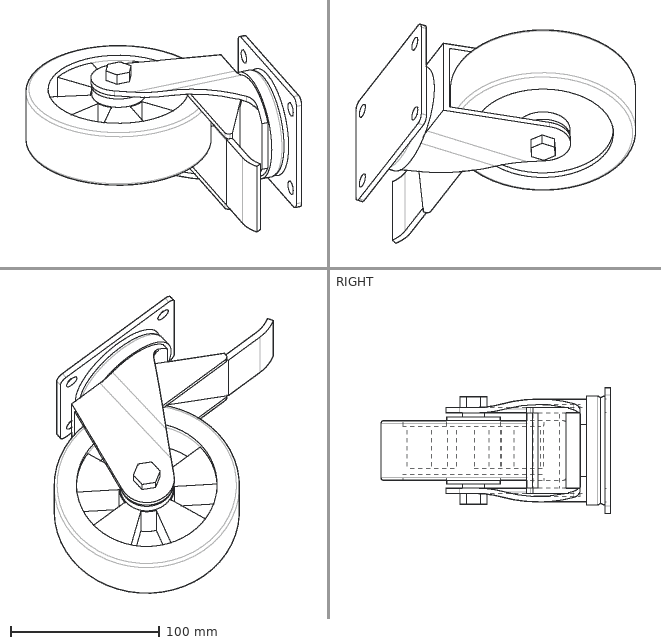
import cadquery as cq
import math


wheel_diameter = 125.0
wheel_width = 40.3
tread_fillet = 2.0
recess_diameter = 94.8
recess_depth = 4.0
pocket_count = 5
pocket_floor = 4.1
pocket_wall_offset = 0.6

hub_diameter = 37.6
hub_flange_diameter = 36.2
hub_flange_height = 2.5
spacer_diameter = 15.0
bolt_head_flats = 16.0
bolt_head_height = 7.2

plate_length = 100.0
plate_width = 85.0
plate_thickness = 4.0
plate_corner = 5.0
mount_hole_diameter = 9.0
mount_hole_spacing_x = 80.2
mount_hole_spacing_z = 60.3

overall_height = 155.0
swivel_x = 48.0
swivel_diameter = 73.5
swivel_height = 12.5
groove_diameter = 71.0
groove_drop = 2.9
rim_drop = 5.0
groove_arc_bulge = 0.7

fork_gap = 50.6
fork_wall = 3.7
fork_top_thickness = 4.3
fork_end_radius = 18.5
fork_rear_x = -2.5
fork_lip_x = 78.0
fork_front_angle = 59
fork_lip_fillet = 9.3
fork_inner_fillet = 0.6
bulge_radius = 34.7
bulge_start_x = 22.3

brake_bottom = 35.7
brake_thickness = 4.3
brake_slope = 30
brake_bend_x = 101.5
brake_slope_end_x = 62.8
brake_corner = 2.7
pedal_tip_angle = 30
pedal_tip_radius = 29.8
overall_length = 206.6

wheel_radius = wheel_diameter / 2
wheel_face = wheel_width / 2
recess_face = wheel_face - recess_depth
fork_inner = fork_gap / 2
fork_outer = fork_inner + fork_wall
plate_top = overall_height - wheel_radius
plate_bottom = plate_top - plate_thickness
fork_top = plate_bottom - swivel_height
fork_ceiling = fork_top - fork_top_thickness
brake_top = brake_bottom + brake_thickness
pedal_end_x = overall_length - wheel_radius


def cylinder(diameter, z_bottom, z_top):
    """Cylinder on the wheel axis."""
    return cq.Workplane("XY").workplane(offset=z_bottom).circle(diameter / 2).extrude(z_top - z_bottom)


def slab(outline, half_width):
    """Extrude an XY outline equally to both sides of Z = 0."""
    return outline.extrude(half_width, both=True)


def make_wheel():
    wheel = cylinder(wheel_diameter, -wheel_face, wheel_face).edges().fillet(tread_fillet)
    wheel = wheel.cut(cylinder(recess_diameter, recess_face, wheel_face))
    wheel = wheel.cut(cylinder(recess_diameter, -wheel_face, -recess_face))

    sector = 180 / pocket_count
    half_sector = math.radians(sector / 2)
    floor = -recess_face + pocket_floor
    tip_x = pocket_wall_offset / math.sin(half_sector)
    wedge_half_width = (wheel_radius - tip_x) * math.tan(half_sector)
    wedge = (
        cq.Workplane("XY")
        .workplane(offset=floor)
        .polyline([(tip_x, 0), (wheel_radius, -wedge_half_width), (wheel_radius, wedge_half_width)])
        .close()
        .extrude(recess_face - floor)
    )
    pocket = wedge.intersect(cylinder(recess_diameter, floor, recess_face))
    pocket = pocket.cut(cylinder(hub_diameter, floor, recess_face))
    for index in range(pocket_count):
        wheel = wheel.cut(pocket.rotate((0, 0, 0), (0, 0, 1), (2 * index + 0.5) * sector))
    return wheel


def make_axle():
    flange_face = wheel_face + hub_flange_height
    head_end = fork_outer + bolt_head_height
    axle = cylinder(hub_flange_diameter, -flange_face, flange_face)
    axle = axle.union(cylinder(spacer_diameter, -fork_outer, fork_outer))
    heads = (
        cq.Workplane("XY")
        .polygon(6, bolt_head_flats / math.cos(math.radians(30)))
        .extrude(head_end, both=True)
        .rotate((0, 0, 0), (0, 0, 1), 90)
        .cut(cq.Workplane("XY").box(wheel_diameter, wheel_diameter, 2 * fork_outer))
    )
    return axle.union(heads)


def make_mounting_plate():
    plate = (
        cq.Workplane("XZ", origin=(swivel_x, plate_top, 0))
        .rect(plate_length, plate_width)
        .extrude(plate_thickness)
        .edges("|Y")
        .fillet(plate_corner)
    )
    holes = (
        cq.Workplane("XZ", origin=(swivel_x, plate_top, 0))
        .rect(mount_hole_spacing_x, mount_hole_spacing_z, forConstruction=True)
        .vertices()
        .circle(mount_hole_diameter / 2)
        .extrude(plate_thickness)
    )
    return plate.cut(holes)


def make_swivel_head():
    """Turned body with a rounded groove just under the mounting plate."""
    radius = swivel_diameter / 2
    groove = groove_diameter / 2
    arc_mid = groove + groove_arc_bulge * (radius - groove)
    groove_y = plate_bottom - groove_drop
    rim_top = plate_bottom - rim_drop
    return (
        cq.Workplane("XY", origin=(swivel_x, 0, 0))
        .moveTo(0, plate_bottom)
        .lineTo(radius, plate_bottom)
        .threePointArc((arc_mid, (plate_bottom + groove_y) / 2), (groove, groove_y))
        .threePointArc((arc_mid, (groove_y + rim_top) / 2), (radius, rim_top))
        .lineTo(radius, fork_top)
        .lineTo(0, fork_top)
        .close()
        .revolve(360, (0, 0, 0), (0, 1, 0))
    )


def bulged_plan(flank, radius, blend_radius, y_bottom, y_top):
    """Fork plan: flat flanks blending through concave arcs into a round bulge about the swivel."""
    blend_z = flank + blend_radius
    reach = swivel_x - bulge_start_x
    share = radius / (radius + blend_radius)
    tangent = (swivel_x - share * reach, share * blend_z)
    sweep = math.atan2(reach, blend_z)
    mid_blend = (
        bulge_start_x + blend_radius * math.sin(sweep / 2),
        blend_z - blend_radius * math.cos(sweep / 2),
    )
    rear_x = -fork_end_radius
    return (
        cq.Workplane("XZ", origin=(0, y_top, 0))
        .moveTo(rear_x, -flank)
        .lineTo(rear_x, flank)
        .lineTo(bulge_start_x, flank)
        .threePointArc(mid_blend, tangent)
        .threePointArc((swivel_x + radius, 0), (tangent[0], -tangent[1]))
        .threePointArc((mid_blend[0], -mid_blend[1]), (bulge_start_x, -flank))
        .close()
        .extrude(y_top - y_bottom)
    )


def fork_side_outline():
    """Leg outline: round around the axle, tangent edges, and a lip at the top front."""
    radius = fork_end_radius
    front = math.radians(fork_front_angle)
    front_tangent = (radius * math.sin(front), -radius * math.cos(front))
    rear = math.atan2(fork_top, fork_rear_x) + math.acos(radius / math.hypot(fork_rear_x, fork_top))
    rear_tangent = (radius * math.cos(rear), radius * math.sin(rear))

    corner_x = (fork_ceiling * math.cos(front) + radius) / math.sin(front)
    setback = fork_lip_fillet * math.tan(front / 2)
    fillet_start = (corner_x - setback * math.cos(front), fork_ceiling - setback * math.sin(front))
    fillet_end_x = corner_x + setback
    fillet_mid = (
        fillet_end_x - fork_lip_fillet * math.sin(front / 2),
        fork_ceiling - fork_lip_fillet * (1 - math.cos(front / 2)),
    )
    return (
        cq.Workplane("XY")
        .moveTo(fork_rear_x, fork_top)
        .lineTo(*rear_tangent)
        .threePointArc((0, -radius), front_tangent)
        .lineTo(*fillet_start)
        .threePointArc(fillet_mid, (fillet_end_x, fork_ceiling))
        .lineTo(fork_lip_x, fork_ceiling)
        .lineTo(fork_lip_x, fork_top)
        .close()
    )


def make_fork():
    reach = swivel_x - bulge_start_x
    blend_radius = (reach**2 + fork_outer**2 - bulge_radius**2) / (2 * (bulge_radius - fork_outer))
    y_low = -fork_end_radius
    body = bulged_plan(fork_outer, bulge_radius, blend_radius, y_low, fork_top)
    bulge_cavity = bulged_plan(
        fork_inner, bulge_radius - fork_wall, blend_radius + fork_wall, y_low, fork_ceiling
    )
    channel_height = fork_ceiling - y_low
    channel = (
        cq.Workplane("XY", origin=(0, fork_ceiling - channel_height / 2, 0))
        .box(2 * overall_length, channel_height, fork_gap)
        .edges("|X and >Y")
        .fillet(fork_inner_fillet)
    )
    rear_block = cq.Workplane("XY").box(2 * fork_end_radius, 2 * overall_height, plate_width)
    bulge_cavity = bulge_cavity.cut(rear_block)
    body = body.intersect(slab(fork_side_outline(), bulge_radius))
    return body.cut(channel).cut(bulge_cavity)


def make_brake():
    slope = math.tan(math.radians(brake_slope))
    ceiling_x = brake_bend_x - (fork_ceiling - brake_top) / slope
    web_end_top = brake_top + (brake_bend_x - brake_slope_end_x) * slope

    cheeks = slab(
        cq.Workplane("XY").polyline(
            [
                (bulge_start_x, brake_bottom),
                (brake_bend_x, brake_bottom),
                (brake_bend_x, brake_top),
                (ceiling_x, fork_ceiling),
                (bulge_start_x, fork_ceiling),
            ]
        ).close(),
        fork_outer,
    )
    cheeks = cheeks.edges("|Z and >X and <Y").fillet(brake_corner)
    cheeks = cheeks.cut(cq.Workplane("XY").box(2 * overall_length, 2 * overall_height, fork_gap))

    tip = math.radians(pedal_tip_angle)
    outer = pedal_tip_radius
    inner = outer - brake_thickness
    tip_start_x = pedal_end_x - outer * math.sin(tip)
    centre_y = brake_bottom + outer

    def tip_point(radius, angle):
        return (tip_start_x + radius * math.sin(angle), centre_y - radius * math.cos(angle))

    pedal = slab(
        cq.Workplane("XY")
        .moveTo(brake_slope_end_x, web_end_top)
        .lineTo(brake_bend_x, brake_top)
        .lineTo(tip_start_x, brake_top)
        .threePointArc(tip_point(inner, tip / 2), tip_point(inner, tip))
        .lineTo(*tip_point(outer, tip))
        .threePointArc(tip_point(outer, tip / 2), tip_point(outer, 0))
        .lineTo(brake_bend_x, brake_bottom)
        .lineTo(brake_slope_end_x, web_end_top - brake_thickness)
        .close(),
        fork_inner,
    )
    return cheeks.union(pedal)


result = (
    make_wheel()
    .union(make_axle())
    .union(make_fork())
    .union(make_swivel_head())
    .union(make_mounting_plate())
    .union(make_brake())
)